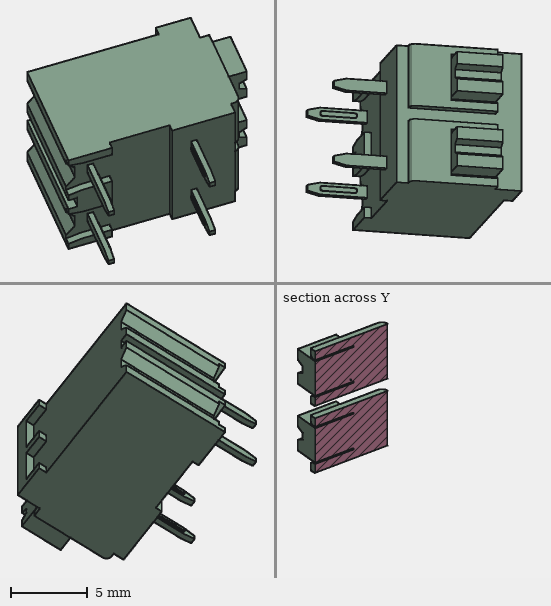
import cadquery as cq


total_length = 11.9
total_depth = 13.65
height = 9.28
pole_pitch = 5.08
pole_centres = (-pole_pitch / 2, pole_pitch / 2)

body_left = 0.57
body_right = 8.4
body_depth = 11.55

lip_bar_front = 10.57
lip_arm_front = 9.12
outer_arm_height = 0.71
middle_arm_height = 0.8

groove_depth = 0.61
trough_mouth = 2.4
trough_floor = 1.0
middle_gap = 0.9

recess_floor = 7.92
channel_width = 2.78
channel_mouth = 3.11
recess_flare_depth = 1.0
notch_front = 3.02
notch_back = 7.18

ear_left = 1.76
ear_right = 7.62
ear_top = 12.19
ear_corner_radius = 0.42
ear_flare_depth = 0.27

lever_left = 1.79
lever_right = 4.87
lever_height = 2.65
lever_notch_depth = 0.52
lever_notch_mouth = 1.02
lever_notch_floor = 0.52

pin_width = 0.8
pin_thickness = 0.4
pin_tip_width = 0.4
pin_taper_start = 11.08
front_pin_y = 1.49
back_pin_y = 8.49
pin_embedment = 0.27
pin_root = recess_floor - pin_embedment

rib_left = 8.61
rib_width = 0.33
rib_thickness = 0.1


def block(x_range, y_range, z_range):
    """Box from its lower and upper limits along each axis."""
    sizes = [high - low for low, high in (x_range, y_range, z_range)]
    corner = (x_range[0], y_range[0], z_range[0])
    return cq.Workplane("XY").box(*sizes, centered=False).translate(corner)


def centred(z_centre, width):
    """Z limits of a span of the given width."""
    return (z_centre - width / 2, z_centre + width / 2)


def yz_prism(half_outline, z_centre, x_range):
    """Prism along X; half_outline lists (y, half width), mirrored about z_centre."""
    upper = [(y, z_centre + half) for y, half in half_outline]
    lower = [(y, z_centre - half) for y, half in reversed(half_outline)]
    left, right = x_range
    return cq.Workplane("YZ").workplane(offset=left).polyline(upper + lower).close().extrude(right - left)


def make_housing():
    full_height = centred(0, height)
    housing = block((body_left, body_right), (0, body_depth), full_height)

    lip_range = (0, body_left)
    housing = housing.union(block(lip_range, (lip_bar_front, body_depth), full_height))
    outer_arm_z = (height - outer_arm_height) / 2
    arms = ((-outer_arm_z, outer_arm_height), (0, middle_arm_height), (outer_arm_z, outer_arm_height))
    for arm_z, arm_height in arms:
        arm = block(lip_range, (lip_arm_front, body_depth), centred(arm_z, arm_height))
        housing = housing.union(arm)

    ear = block((ear_left, ear_right), (lip_bar_front, ear_top), full_height)
    ear = ear.edges("|Z and >X and >Y").fillet(ear_corner_radius)
    housing = housing.union(ear)

    housing = housing.cut(block((recess_floor, body_right), (notch_front, notch_back), full_height))
    gap_z = centred(0, middle_gap)
    housing = housing.cut(block((body_left, body_right), (0, groove_depth), gap_z))
    return housing.cut(block((ear_left, ear_right), (body_depth, ear_top), gap_z))


def make_trough(z_centre):
    half_outline = [(0, trough_mouth / 2), (groove_depth, trough_floor / 2)]
    return yz_prism(half_outline, z_centre, (body_left, body_right))


def make_contact_recess(z_centre):
    """Open recess in the pin side with a mouth that flares towards Y = 0."""
    half_outline = [
        (0, channel_mouth / 2),
        (recess_flare_depth, channel_width / 2),
        (notch_front, channel_width / 2),
    ]
    return yz_prism(half_outline, z_centre, (recess_floor, body_right))


def make_lever_pocket(z_centre):
    """Pocket between the ears, flared at its outer end and closed beyond the lever."""
    half_outline = [
        (body_depth, channel_width / 2),
        (ear_top - ear_flare_depth, channel_width / 2),
        (ear_top, channel_mouth / 2),
    ]
    return yz_prism(half_outline, z_centre, (ear_left, lever_right))


def make_lever(z_centre):
    x_range = (lever_left, lever_right)
    lever = block(x_range, (lip_bar_front, total_depth), centred(z_centre, lever_height))
    half_outline = [
        (total_depth - lever_notch_depth, lever_notch_floor / 2),
        (total_depth, lever_notch_mouth / 2),
    ]
    return lever.cut(yz_prism(half_outline, z_centre, x_range))


def make_pin(y_low, z_centre, rib_direction):
    """Flat tapered pin; rib_direction is the sign of Y on which the rib stands."""
    half = pin_width / 2
    tip_half = pin_tip_width / 2
    outline = [
        (pin_root, -half),
        (pin_taper_start, -half),
        (total_length, -tip_half),
        (total_length, tip_half),
        (pin_taper_start, half),
        (pin_root, half),
    ]
    pin = cq.Workplane("XZ").polyline(outline).close().extrude(-pin_thickness)

    rib_base = pin_thickness if rib_direction > 0 else 0
    rib_centre_x = (rib_left + pin_taper_start) / 2
    rib = (
        cq.Workplane("XZ", origin=(rib_centre_x, rib_base, 0))
        .slot2D(pin_taper_start - rib_left, rib_width)
        .extrude(-rib_direction * rib_thickness)
    )
    return pin.union(rib).translate((0, y_low, z_centre))


result = make_housing()
for pole_z in pole_centres:
    result = result.cut(make_trough(pole_z))
    result = result.cut(make_contact_recess(pole_z))
    result = result.cut(make_lever_pocket(pole_z))
    result = result.union(make_lever(pole_z))
    result = result.union(make_pin(front_pin_y, pole_z, 1))
    result = result.union(make_pin(back_pin_y, pole_z, -1))